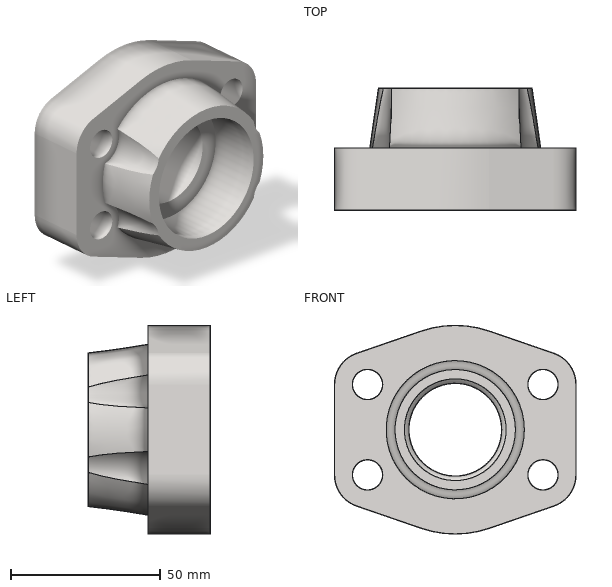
import cadquery as cq
import math

plate_length = 81.0
plate_height = 70.0
plate_thickness = 21.0

bolt_x = 29.4
bolt_z = 15.15
bolt_hole_diameter = 10.05
bolt_head_clearance_radius = 8.0

hub_length = 20.0
hub_base_radius = 28.7
hub_end_radius = 25.75

bore_diameter = 31.0
bore_radius = bore_diameter / 2
bore_chamfer = 1.5
socket_radius = 21.4
socket_depth = 19.0
groove_outer_radius = 23.2
groove_inner_radius = 20.2
groove_depth = 2.0

crown_radius = plate_height / 2
corner_radius = plate_length / 2 - bolt_x
bolt_points = [(x, z) for x in (-bolt_x, bolt_x) for z in (-bolt_z, bolt_z)]


def polar(center, radius, angle):
    return (center[0] + radius * math.cos(angle), center[1] + radius * math.sin(angle))


def make_plate():
    """Crowned plate whose straight flanks are tangent to the corner and crown arcs."""
    bolt_distance = math.hypot(bolt_x, bolt_z)
    flank_normal = math.atan2(bolt_z, bolt_x) + math.acos((crown_radius - corner_radius) / bolt_distance)
    tilt = math.pi / 2 - flank_normal

    side_end = (plate_length / 2, bolt_z)
    corner_middle = polar((bolt_x, bolt_z), corner_radius, flank_normal / 2)
    corner_end = polar((bolt_x, bolt_z), corner_radius, flank_normal)
    crown_half_width = crown_radius * math.sin(tilt)
    crown_end_z = crown_radius * math.cos(tilt)

    outline = cq.Workplane("XZ").moveTo(plate_length / 2, -bolt_z)
    for side in (1, -1):
        def turned(point):
            return (side * point[0], side * point[1])

        def mirrored(point):
            return (-side * point[0], side * point[1])

        outline = (
            outline.lineTo(*turned(side_end))
            .threePointArc(turned(corner_middle), turned(corner_end))
            .lineTo(*turned((crown_half_width, crown_end_z)))
            .threePointArc(turned((0, crown_radius)), mirrored((crown_half_width, crown_end_z)))
            .lineTo(*mirrored(corner_end))
            .threePointArc(mirrored(corner_middle), mirrored(side_end))
        )
    return outline.close().extrude(-plate_thickness)


def make_hub():
    """Cone with four scallops that leave room for the bolt heads."""
    hub = (
        cq.Workplane("XZ", origin=(0, plate_thickness, 0))
        .circle(hub_base_radius)
        .workplane(offset=-hub_length)
        .circle(hub_end_radius)
        .loft()
    )
    scallops = (
        cq.Workplane("XZ", origin=(0, plate_thickness, 0))
        .pushPoints(bolt_points)
        .circle(bolt_head_clearance_radius)
        .extrude(-hub_length)
    )
    return hub.cut(scallops)


def make_bore():
    """Through bore with a chamfered mouth and a wider pipe socket at the hub end."""
    rear_y = plate_thickness + hub_length
    mouth_radius = bore_radius + bore_chamfer
    return (
        cq.Workplane("XY")
        .polyline([
            (0, 0),
            (mouth_radius, 0),
            (bore_radius, bore_chamfer),
            (bore_radius, rear_y - socket_depth),
            (socket_radius, rear_y - socket_depth),
            (socket_radius, rear_y),
            (0, rear_y),
        ])
        .close()
        .revolve(360, (0, 0, 0), (0, 1, 0))
    )


bolt_holes = (
    cq.Workplane("XZ")
    .pushPoints(bolt_points)
    .circle(bolt_hole_diameter / 2)
    .extrude(-plate_thickness)
)
seal_groove = (
    cq.Workplane("XZ")
    .circle(groove_outer_radius)
    .circle(groove_inner_radius)
    .extrude(-groove_depth)
)
result = make_plate().union(make_hub()).cut(make_bore()).cut(bolt_holes).cut(seal_groove)